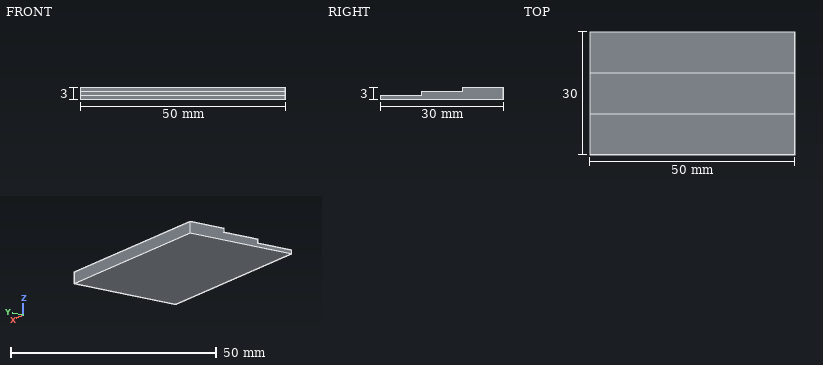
import cadquery as cq

length = 50.0
step_count = 3
tread_depth = 10.0
step_rise = 1.0

width = step_count * tread_depth
back_face = width / 2


def tread(level):
    """Full-length slab for one level; each higher slab is one tread shorter at the front."""
    depth = width - level * tread_depth
    return (
        cq.Workplane("XY")
        .box(length, depth, step_rise, centered=(True, False, False))
        .translate((0, back_face - depth, level * step_rise))
    )


result = tread(0)
for level in range(1, step_count):
    result = result.union(tread(level))